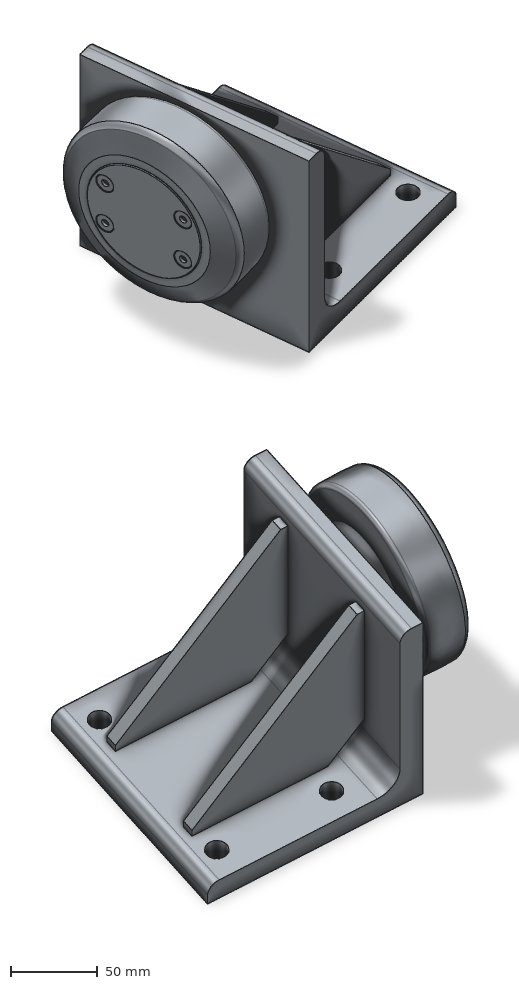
import cadquery as cq

width = 160.0
leg_length = 150.0
leg_thickness = 16.0
toe_radius = 8.0
heel_radius = 16.0

mount_hole_diameter = 14.0
mount_pitch_x = 120.0
mount_pitch_y = 80.0
mount_edge_distance = 20.0

rib_thickness = 8.7
rib_outer_span = 87.0
rib_reach = 136.0
rib_end_land = 5.0
rib_inner_cut = 41.5

axle_height = 100.0
hub_diameter = 80.0
hub_chamfer = 0.6
hub_length = 51.5
roller_start = 13.7
roller_end = 50.8
roller_diameter = 127.0
shoulder_diameter = 126.1
back_edge_radius = 3.0
tread_end = 41.1
cone_start = 45.1
cone_base_diameter = 120.0
front_face_diameter = 91.9
front_corner_setback = 1.0

screw_pitch_x = 54.5
screw_pitch_z = 31.2
recess_diameter = 12.5
recess_depth = 4.0
head_diameter = 11.7
head_sink = 0.5
socket_diameter = 4.8
socket_depth = 2.0


def make_bracket():
    """L-section with rounded toes and a filleted inside corner."""
    profile = (
        cq.Workplane("YZ")
        .polyline([
            (0, 0),
            (leg_length, 0),
            (leg_length, leg_thickness),
            (leg_thickness, leg_thickness),
            (leg_thickness, leg_length),
            (0, leg_length),
        ])
        .close()
        .extrude(width / 2, both=True)
    )
    base_toe = cq.selectors.NearestToPointSelector((0, leg_length, leg_thickness))
    upright_toe = cq.selectors.NearestToPointSelector((0, leg_thickness, leg_length))
    heel = cq.selectors.NearestToPointSelector((0, leg_thickness, leg_thickness))
    body = profile.edges("|X").edges(base_toe).fillet(toe_radius)
    body = body.edges("|X").edges(upright_toe).fillet(toe_radius)
    body = body.edges("|X").edges(heel).fillet(heel_radius)
    holes = (
        cq.Workplane("XY")
        .center(0, leg_length - mount_edge_distance - mount_pitch_y / 2)
        .rect(mount_pitch_x, mount_pitch_y, forConstruction=True)
        .vertices()
        .circle(mount_hole_diameter / 2)
        .extrude(leg_thickness)
    )
    return body.cut(holes)


def make_rib(center_x):
    """Diagonal gusset that leaves the inside corner of the bracket open."""
    land_end = leg_thickness + rib_end_land
    return (
        cq.Workplane("YZ", origin=(center_x, 0, 0))
        .polyline([
            (leg_thickness, rib_inner_cut),
            (leg_thickness, rib_reach),
            (land_end, rib_reach),
            (rib_reach, land_end),
            (rib_reach, leg_thickness),
            (rib_inner_cut, leg_thickness),
        ])
        .close()
        .extrude(rib_thickness / 2, both=True)
    )


def make_roller():
    """Crowned roller with a rounded back edge and a conical front."""
    shoulder_radius = shoulder_diameter / 2
    tread_start = roller_start + back_edge_radius
    tread_middle = (tread_start + tread_end) / 2
    return (
        cq.Workplane("XY")
        .moveTo(0, -roller_start)
        .lineTo(shoulder_radius - back_edge_radius, -roller_start)
        .radiusArc((shoulder_radius, -tread_start), back_edge_radius)
        .threePointArc((roller_diameter / 2, -tread_middle), (shoulder_radius, -tread_end))
        .threePointArc(
            (shoulder_radius - front_corner_setback, -(tread_end + cone_start) / 2),
            (cone_base_diameter / 2, -cone_start),
        )
        .lineTo(front_face_diameter / 2, -roller_end)
        .lineTo(0, -roller_end)
        .close()
        .revolve(360, (0, 0), (0, 1))
        .translate((0, 0, axle_height))
    )


def forward_cylinders(diameter, start, end, pitch=None):
    """Cylinder on the axle, or one at each screw position, running forward along -Y."""
    plane = cq.Workplane("XZ", origin=(0, -start, axle_height))
    if pitch:
        plane = plane.rect(*pitch, forConstruction=True).vertices()
    return plane.circle(diameter / 2).extrude(end - start)


def add_screws(body):
    """Sink each socket-head screw in a shallow clearance recess."""
    pitch = (screw_pitch_x, screw_pitch_z)
    recess_floor = hub_length - recess_depth
    head_top = hub_length - head_sink
    body = body.cut(forward_cylinders(recess_diameter, recess_floor, hub_length, pitch))
    body = body.union(forward_cylinders(head_diameter, recess_floor, head_top, pitch))
    return body.cut(forward_cylinders(socket_diameter, head_top - socket_depth, head_top, pitch))


result = make_bracket()
rib_center = (rib_outer_span - rib_thickness) / 2
for side in (-1, 1):
    result = result.union(make_rib(side * rib_center))
result = result.union(make_roller())
spacer = forward_cylinders(hub_diameter, 0, roller_start).edges().chamfer(hub_chamfer)
cap = forward_cylinders(hub_diameter, roller_start, hub_length).faces("<Y").chamfer(hub_chamfer)
result = result.union(spacer).union(cap)
result = add_screws(result)